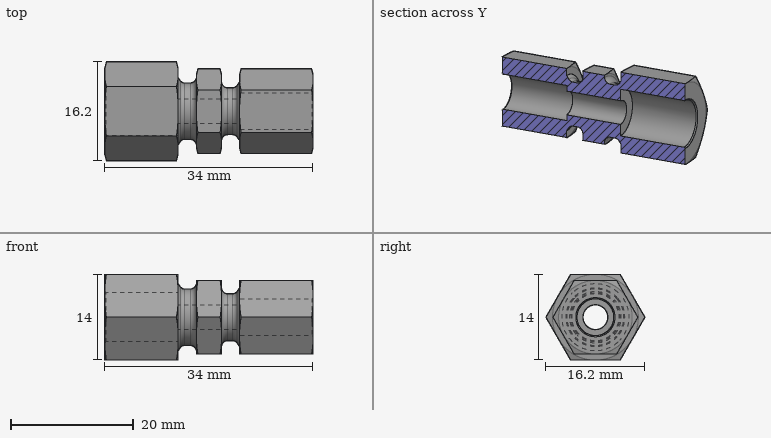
import cadquery as cq
import math

total_length = 34.0
nut_length = 12.0
large_hex_flats = 14.0
small_hex_flats = 12.0
body_hex_start = 14.95
body_hex_end = 19.07

corner_chamfer_angle = math.radians(15)

large_neck_diameter = 9.25
large_shoulder_diameter = 11.25
small_neck_diameter = 7.7
small_shoulder_diameter = 9.72
neck_fillet_radius = 1.0
thread_chamfer_angle = math.radians(55)
large_neck_land = 1.0
large_cone_fillet = 0.75
small_neck_land = 0.8
small_cone_fillet = 0.9
thread_engagement = 1.7

passage_diameter = 4.0
large_bore_diameter = 8.0
small_bore_diameter = 6.0
bore_depth = nut_length
bore_chamfer = 0.2


def chamfered_hexagon(start, end, flats):
    """Hexagon along X with corners in Y, turned down to the flats at both ends."""
    length = end - start
    corner_diameter = flats / math.cos(math.pi / 6)
    corner_radius = corner_diameter / 2
    face_radius = flats / 2
    chamfer_length = (corner_radius - face_radius) * math.tan(corner_chamfer_angle)
    hexagon = cq.Workplane("YZ", origin=(start, 0, 0)).polygon(6, corner_diameter).extrude(length)
    envelope = (
        cq.Workplane("XY")
        .moveTo(start, 0)
        .lineTo(start, face_radius)
        .lineTo(start + chamfer_length, corner_radius)
        .lineTo(end - chamfer_length, corner_radius)
        .lineTo(end, face_radius)
        .lineTo(end, 0)
        .close()
        .revolve(360, (0, 0, 0), (1, 0, 0))
    )
    return hexagon.intersect(envelope)


def neck(hex_face, side, neck_diameter, shoulder_diameter, land_length, cone_fillet):
    """Neck from a quarter-round at the body hexagon to a filleted cone; side is +1 or -1 along X."""
    neck_radius = neck_diameter / 2
    shoulder_radius = shoulder_diameter / 2
    half_angle = thread_chamfer_angle / 2

    def fillet_offset(radius, angle):
        along = radius * math.sin(angle)
        outward = radius * (1 - math.cos(angle))
        return along, outward

    land_start = hex_face + side * neck_fillet_radius
    land_end = land_start + side * land_length
    quarter_along, quarter_out = fillet_offset(neck_fillet_radius, math.pi / 4)
    middle_along, middle_out = fillet_offset(cone_fillet, half_angle)
    cone_along, cone_out = fillet_offset(cone_fillet, thread_chamfer_angle)
    cone_start = land_end + side * cone_along
    cone_start_radius = neck_radius + cone_out
    cone_length = (shoulder_radius - cone_start_radius) / math.tan(thread_chamfer_angle)
    cone_end = cone_start + side * cone_length
    thread_end = cone_end + side * thread_engagement
    return (
        cq.Workplane("XY")
        .moveTo(hex_face, 0)
        .lineTo(hex_face, neck_radius + neck_fillet_radius)
        .threePointArc(
            (land_start - side * quarter_along, neck_radius + quarter_out),
            (land_start, neck_radius),
        )
        .lineTo(land_end, neck_radius)
        .threePointArc(
            (land_end + side * middle_along, neck_radius + middle_out),
            (cone_start, cone_start_radius),
        )
        .lineTo(cone_end, shoulder_radius)
        .lineTo(thread_end, shoulder_radius)
        .lineTo(thread_end, 0)
        .close()
        .revolve(360, (0, 0, 0), (1, 0, 0))
    )


def tube_bore(mouth, inward, diameter):
    """Blind tube socket with a chamfered mouth; inward is +1 or -1 along X."""
    radius = diameter / 2
    bottom = mouth + inward * bore_depth
    return (
        cq.Workplane("XY")
        .moveTo(mouth, 0)
        .lineTo(mouth, radius + bore_chamfer)
        .lineTo(mouth + inward * bore_chamfer, radius)
        .lineTo(bottom, radius)
        .lineTo(bottom, 0)
        .close()
        .revolve(360, (0, 0, 0), (1, 0, 0))
    )


small_nut_start = total_length - nut_length

large_nut = chamfered_hexagon(0, nut_length, large_hex_flats)
body_hex = chamfered_hexagon(body_hex_start, body_hex_end, small_hex_flats)
small_nut = chamfered_hexagon(small_nut_start, total_length, small_hex_flats)
large_neck = neck(
    body_hex_start,
    -1,
    large_neck_diameter,
    large_shoulder_diameter,
    large_neck_land,
    large_cone_fillet,
)
small_neck = neck(
    body_hex_end,
    1,
    small_neck_diameter,
    small_shoulder_diameter,
    small_neck_land,
    small_cone_fillet,
)

passage = cq.Workplane("YZ").circle(passage_diameter / 2).extrude(total_length)

result = (
    large_nut.union(large_neck)
    .union(body_hex)
    .union(small_neck)
    .union(small_nut)
    .cut(passage)
    .cut(tube_bore(0, 1, large_bore_diameter))
    .cut(tube_bore(total_length, -1, small_bore_diameter))
)